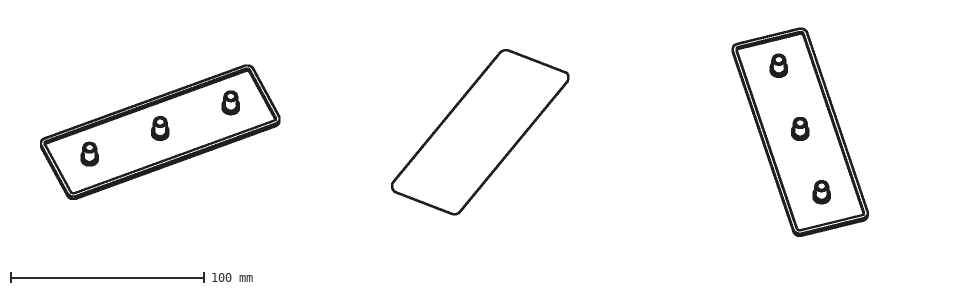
import cadquery as cq

plate_length = 120.0
plate_width = plate_length / 3
plate_height = plate_length / 30
corner_radius = 3.5
bottom_fillet = 2.3
rim_width = plate_height / 2
floor_thickness = plate_height / 2

post_pitch = plate_length / 3
post_top = 12.0
post_radius = 6.2 / 2
bulge_radius = 7.0 / 2
bulge_start = 7.0
bulge_low = 9.0
bulge_high = 10.1
boss_radius = 8.6 / 2
boss_top = 3.6

bore_radius = 4.5 / 2
bore_fillet = 2.0
bore_bottom = floor_thickness


def make_plate():
    body = (
        cq.Workplane("XY")
        .box(plate_width, plate_length, plate_height, centered=(True, True, False))
        .edges("|Z")
        .fillet(corner_radius)
        .faces("<Z")
        .edges()
        .fillet(bottom_fillet)
    )
    recess = (
        cq.Workplane("XY", origin=(0, 0, floor_thickness))
        .box(
            plate_width - 2 * rim_width,
            plate_length - 2 * rim_width,
            plate_height - floor_thickness,
            centered=(True, True, False),
        )
        .edges("|Z")
        .fillet(corner_radius - rim_width)
    )
    return body.cut(recess)


def make_post():
    root = floor_thickness / 2
    return (
        cq.Workplane("XZ")
        .moveTo(0, root)
        .lineTo(boss_radius, root)
        .lineTo(boss_radius, boss_top)
        .lineTo(post_radius, boss_top)
        .lineTo(post_radius, bulge_start)
        .lineTo(bulge_radius, bulge_low)
        .lineTo(bulge_radius, bulge_high)
        .lineTo(post_radius, post_top)
        .lineTo(0, post_top)
        .close()
        .revolve(360, (0, 0, 0), (0, 1, 0))
    )


def make_bore():
    return (
        cq.Workplane("XY", origin=(0, 0, bore_bottom))
        .circle(bore_radius)
        .extrude(post_top - bore_bottom)
        .faces("<Z")
        .edges()
        .fillet(bore_fillet)
    )


hollow_post = make_post().cut(make_bore())

result = make_plate()
for post_y in (-post_pitch, 0, post_pitch):
    result = result.union(hollow_post.translate((0, post_y, 0)))